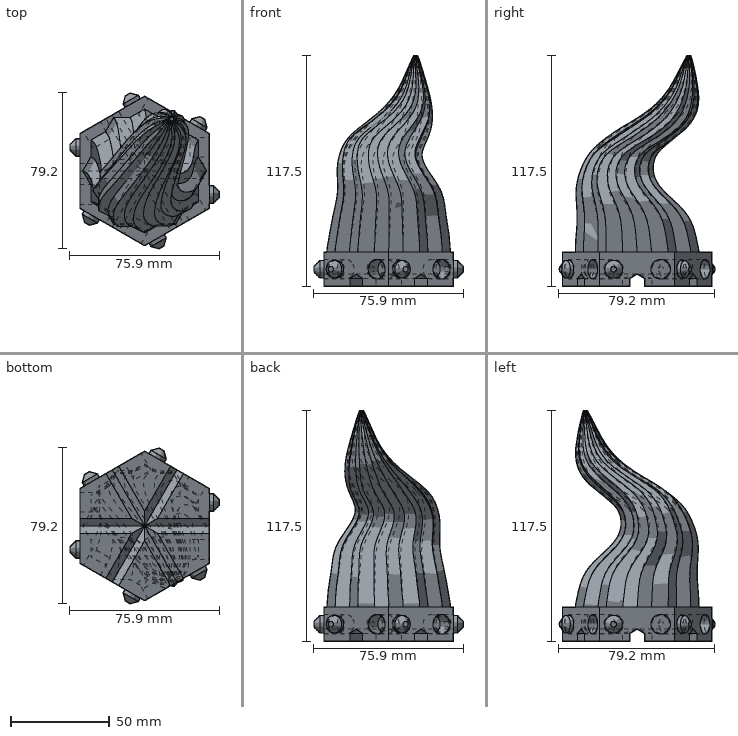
import cadquery as cq
import math

base_height = 17.5
base_across_flats = 65.9
face_distance = base_across_flats / 2
side_count = 6
side_angle = 360 / side_count

connector_height = base_height / 2
connector_offset = 12.0
peg_diameter = 9.0
peg_tip_diameter = 2.9
peg_length = 5.0
peg_straight_length = 2.0
peg_root_depth = 1.2
socket_diameter = 10.0
socket_depth = 10.0

channel_width = 7.5
channel_wall_height = 4.0
channel_ridge_height = 6.2

total_height = 117.5
star_points = 12
star_valley_ratio = math.cos(math.radians(30)) / math.cos(math.radians(15))
horn_base_radius = 31.5
horn_tip_radius = 1.01
horn_sections = [
    (base_height, 0, 0, horn_base_radius, horn_base_radius, 0, 0),
    (22.3, 0.1, -0.4, 31.0, 31.0, 0, 0),
    (29.4, 0.4, -0.9, 30.0, 29.8, 0.2, 0),
    (38.8, 0.6, -3.5, 28.3, 27.1, 0.4, 0.2),
    (48.2, 0.4, -8.6, 26.4, 22.6, 0.7, 0.4),
    (57.6, -2.6, -10.5, 23.6, 18.9, 0.9, -0.4),
    (67, -4.0, -7.4, 21.0, 17.4, 1.6, 0.5),
    (76.4, 0.2, 2.7, 20.1, 17.4, 2.8, 4.5),
    (85.8, 6.9, 14.6, 15.4, 14.3, -0.1, 3.6),
    (95.2, 11.3, 21.6, 10.1, 9.8, -1.5, 1.5),
    (105.8, 13.0, 24.7, 5.5, 5.5, -0.8, 0.8),
    (112.8, 13.5, 25.7, 2.9, 2.9, 0, 0.1),
    (total_height, 13.7, 26.3, horn_tip_radius, horn_tip_radius, 0, 0),
]


def make_base():
    corner_diameter = base_across_flats / math.cos(math.radians(side_angle / 2))
    blank = cq.Workplane("XY").polygon(side_count, corner_diameter).extrude(base_height)
    return blank.rotate((0, 0, 0), (0, 0, 1), side_angle / 2)


def around_sides(shape):
    """Return one copy of a +X side feature for every side of the base."""
    return [shape.rotate((0, 0, 0), (0, 0, 1), i * side_angle) for i in range(side_count)]


def make_peg():
    """Revolve a peg on the +X side, its root sunk into the base."""
    root_x = face_distance - peg_root_depth
    shoulder_x = face_distance + peg_straight_length
    tip_x = face_distance + peg_length
    profile = [
        (root_x, 0),
        (root_x, peg_diameter / 2),
        (shoulder_x, peg_diameter / 2),
        (tip_x, peg_tip_diameter / 2),
        (tip_x, 0),
    ]
    peg = cq.Workplane("XY").polyline(profile).close().revolve(360, (0, 0), (1, 0))
    return peg.translate((0, -connector_offset, connector_height))


def make_socket():
    socket = cq.Workplane("YZ").circle(socket_diameter / 2).extrude(socket_depth)
    return socket.translate((face_distance - socket_depth, connector_offset, connector_height))


def make_channel():
    """Cut body from the centre axis out through the +X side."""
    profile = [
        (-channel_width / 2, 0),
        (channel_width / 2, 0),
        (channel_width / 2, channel_wall_height),
        (0, channel_ridge_height),
        (-channel_width / 2, channel_wall_height),
    ]
    return cq.Workplane("YZ").polyline(profile).close().extrude(face_distance)


def star_wire(height, centre_x, centre_y, radius_x, radius_y, skew_x, skew_y):
    points = []
    for i in range(2 * star_points):
        angle = math.pi * i / star_points
        reach = 1 if i % 2 == 0 else star_valley_ratio
        u = reach * math.cos(angle)
        v = reach * math.sin(angle)
        x = centre_x + radius_x * u + skew_x * v
        y = centre_y + skew_y * u + radius_y * v
        points.append(cq.Vector(x, y, height))
    return cq.Wire.makePolygon(points, close=True)


def make_horn():
    return cq.Workplane(cq.Solid.makeLoft([star_wire(*section) for section in horn_sections]))


result = make_base()
for cutter in around_sides(make_socket()) + around_sides(make_channel()):
    result = result.cut(cutter)
for peg in around_sides(make_peg()):
    result = result.union(peg)
result = result.union(make_horn())